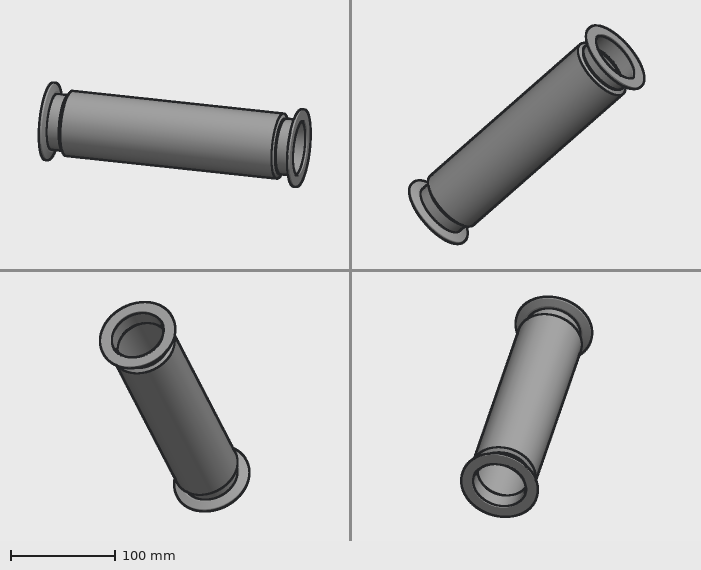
import cadquery as cq
import math

overall_length = 250.0
bore_diameter = 50.0

flange_diameter = 75.0
rim_face_round = 0.3
rim_back_round = 1.0
rim_straight_end = 2.25
taper_angle = 15.0
collar_diameter = 59.0
neck_diameter = 54.0
neck_end = 18.0
recess_diameter = 52.4
recess_depth = 2.6
bore_mouth_round = 0.5
recess_mouth_round = 0.3

tube_diameter = 63.0
tube_end = 17.0
bevel_length = 3.1
tube_wall = 2.0


def revolve_about_x(half_profile):
    """Turn a closed half profile, drawn as (x, radius), about the X axis."""
    return half_profile.close().revolve(360, (0, 0, 0), (1, 0, 0))


def make_flange():
    """Flange with its sealing face at the -X end of the part."""
    rim_radius = flange_diameter / 2
    collar_radius = collar_diameter / 2
    neck_radius = neck_diameter / 2
    recess_radius = recess_diameter / 2
    bore_radius = bore_diameter / 2

    def back_round_point(angle):
        """Point on the rim's back round, at an angle in degrees from the radial direction."""
        turn = math.radians(angle)
        center_radius = rim_radius - rim_back_round
        return (
            rim_straight_end + rim_back_round * math.sin(turn),
            center_radius + rim_back_round * math.cos(turn),
        )

    round_sweep = 90 - taper_angle
    round_end = back_round_point(round_sweep)
    taper_drop = round_end[1] - collar_radius
    collar_x = round_end[0] + taper_drop * math.tan(math.radians(taper_angle))

    profile = (
        cq.Workplane("XY")
        .moveTo(0, recess_radius + recess_mouth_round)
        .lineTo(0, rim_radius - rim_face_round)
        .radiusArc((rim_face_round, rim_radius), rim_face_round)
        .lineTo(rim_straight_end, rim_radius)
        .threePointArc(back_round_point(round_sweep / 2), round_end)
        .lineTo(collar_x, collar_radius)
        .lineTo(collar_x, neck_radius)
        .lineTo(neck_end, neck_radius)
        .lineTo(neck_end, bore_radius)
        .lineTo(recess_depth + bore_mouth_round, bore_radius)
        .radiusArc((recess_depth, bore_radius + bore_mouth_round), bore_mouth_round)
        .lineTo(recess_depth, recess_radius)
        .lineTo(recess_mouth_round, recess_radius)
        .radiusArc((0, recess_radius + recess_mouth_round), recess_mouth_round)
    )
    return revolve_about_x(profile).translate((-overall_length / 2, 0, 0))


def make_tube():
    """Thin tube closed down to the necks by conical end walls as thick as its side wall."""
    outer_end_x = overall_length / 2 - tube_end
    neck_radius = neck_diameter / 2
    tube_radius = tube_diameter / 2
    tube_bore_radius = tube_radius - tube_wall
    bevel_height = tube_radius - neck_radius
    bevel_slope = bevel_length / bevel_height
    end_wall_along_axis = tube_wall * math.hypot(bevel_length, bevel_height) / bevel_height
    inner_end_x = outer_end_x - end_wall_along_axis
    inner_bevel_length = (tube_bore_radius - neck_radius) * bevel_slope
    profile = (
        cq.Workplane("XY")
        .moveTo(-outer_end_x, neck_radius)
        .lineTo(-outer_end_x + bevel_length, tube_radius)
        .lineTo(outer_end_x - bevel_length, tube_radius)
        .lineTo(outer_end_x, neck_radius)
        .lineTo(inner_end_x, neck_radius)
        .lineTo(inner_end_x - inner_bevel_length, tube_bore_radius)
        .lineTo(-inner_end_x + inner_bevel_length, tube_bore_radius)
        .lineTo(-inner_end_x, neck_radius)
    )
    return revolve_about_x(profile)


left_flange = make_flange()
right_flange = left_flange.mirror("YZ")
tube = make_tube()

result = cq.Compound.makeCompound([left_flange.val(), right_flange.val(), tube.val()])